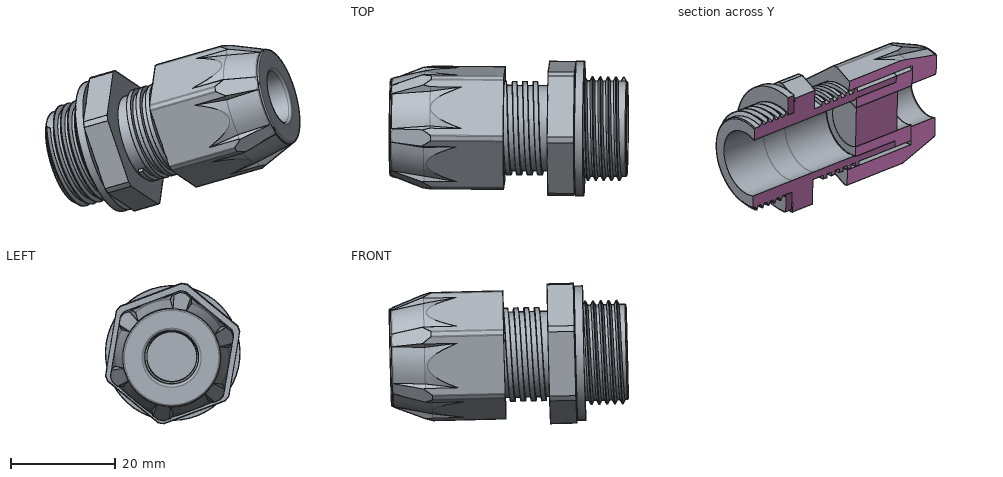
import cadquery as cq
import math


AXIS_RISE = 1.4
AXIS_SWING = 0.35
HEX_ANGLE = 9.5
HEX_SIDES = 6
SIDE_ANGLE = 360 / HEX_SIDES
HALF_SIDE_ANGLE = SIDE_ANGLE / 2
FLAT_ANGLE = HEX_ANGLE + HALF_SIDE_ANGLE

NUT_END = 21.9
HEX_START = 30.4
HEX_END = 35.45
GASKET_START = HEX_END + 0.2
GASKET_END = 37.2
BODY_END = 45.47

NUT_FLATS = 22.0
NUT_CORNERS = 24.8
NUT_CORNER_ROUND = 0.4
NUT_FACE_DIA = 18.74
NUT_FACE_ROUND = 0.3
NUT_BORE = 10.32
NUT_MOUTH_ROUND = 0.5
NUT_SHOULDER = 6.1
RIB_SLOPE = 21.4
RIB_FACE_OFFSET = 9.26

NEAR_KNEE = (10.93, 6.65)
FAR_KNEE = (10.99, 7.85)
FAR_FLATS = (2, 5)
REAR_CONE_LENGTH = 6.6
REAR_CONE_RADIUS = 11.87
SCOOP_HALF_WIDTH = 3.55
SCOOP_SPREAD = 1.17
SCOOP_BELOW = 2.0
SCOOP_ABOVE = 5.0

HEX_FLATS = 24.0
HEX_CORNERS = 27.06
SPIGOT_START = 10.0
SPIGOT_DIA = 16.43
NECK_DIA = 23.0
STUD_DIA = 18.34
STUD_CHAMFER = 0.2
SEAL_SEAT_DIA = 13.58
SEAL_SEAT_END = 20.0
PASSAGE_DIA = 13.18
THREAD_ROOT_SINK = 0.2

SPIGOT_THREAD_DIA = 17.95
SPIGOT_THREAD_PITCH = 2.0
SPIGOT_THREAD_TURNS = 5
SPIGOT_THREAD_END = 29.3
SPIGOT_THREAD_END_ANGLE = 0
SPIGOT_THREAD_CREST = 0.85
SPIGOT_THREAD_BASE = 1.1

STUD_THREAD_DIA = 19.9
STUD_THREAD_PITCH = 1.5
STUD_THREAD_TURNS = 5.4
STUD_THREAD_END = 44.75
STUD_THREAD_END_ANGLE = 90
STUD_THREAD_CREST = 0.15
STUD_THREAD_BASE = 1.15

GASKET_DIA = 25.84
SEAL_BORE = 9.6
PLUG_START = 9.6


def disc(diameter, start, end):
    """Solid cylinder about the axis between two stations."""
    return cq.Workplane("XY", origin=(0, 0, start)).circle(diameter / 2).extrude(end - start)


def hexagon(across_flats, start, end, taper=0):
    """Hexagonal prism or pyramid about the axis, with a corner pointing along X."""
    corner_dia = across_flats / math.cos(math.radians(HALF_SIDE_ANGLE))
    return cq.Workplane("XY", origin=(0, 0, start)).polygon(HEX_SIDES, corner_dia).extrude(end - start, taper=taper)


def turn(shape, angle):
    """Rotates a shape about the axis."""
    return shape.rotate((0, 0, 0), (0, 0, 1), angle)


def thread(core_dia, crest_dia, pitch, turns, end, end_angle, base, crest):
    """Right-handed helical ridge that ends at the given station and angle."""
    root = core_dia / 2 - THREAD_ROOT_SINK
    height = pitch * turns
    path = cq.Workplane("XY").add(cq.Wire.makeHelix(pitch, height, root))
    profile = [
        (root, -base / 2),
        (crest_dia / 2, -crest / 2),
        (crest_dia / 2, crest / 2),
        (root, base / 2),
    ]
    ridge = cq.Workplane("XZ").polyline(profile).close().sweep(path, isFrenet=True)
    return turn(ridge, end_angle - 360 * turns).translate((0, 0, end - height))


def scoop(angle, knee_radius, knee):
    """Cutter for one flat: everything outside two stacked cones, between two leaning side walls."""
    rear = knee + REAR_CONE_LENGTH
    face_radius = NUT_FACE_DIA / 2
    outer = NUT_FLATS
    outside = (
        cq.Workplane("XZ")
        .polyline([(face_radius, 0), (knee_radius, knee), (REAR_CONE_RADIUS, rear), (outer, rear), (outer, 0)])
        .close()
        .revolve(360, (0, 0, 0), (0, 1, 0))
    )

    def section(radius):
        """Corners of the trapezoid between the side walls where the floor has the given radius."""
        floor = math.sqrt(radius**2 - SCOOP_HALF_WIDTH**2)
        low = SCOOP_HALF_WIDTH - SCOOP_SPREAD * SCOOP_BELOW
        high = SCOOP_HALF_WIDTH + SCOOP_SPREAD * SCOOP_ABOVE
        inner = floor - SCOOP_BELOW
        top = floor + SCOOP_ABOVE
        return [(inner, -low), (top, -high), (top, high), (inner, low)]

    front = (
        cq.Workplane("XY").polyline(section(face_radius)).close()
        .workplane(offset=knee).polyline(section(knee_radius)).close()
        .loft(ruled=True)
    )
    back = cq.Workplane("XY", origin=(0, 0, knee)).polyline(section(knee_radius)).close().extrude(rear - knee)
    return turn(outside.intersect(front.union(back)), angle)


def rounded_face():
    """Envelope that rounds the rim of the nut's front face and clears the rest of the nut."""
    rim = NUT_FACE_DIA / 2
    flat = rim - NUT_FACE_ROUND
    arc_inset = NUT_FACE_ROUND * (1 - math.sqrt(0.5))
    return (
        cq.Workplane("XZ")
        .lineTo(flat, 0)
        .threePointArc((rim - arc_inset, arc_inset), (rim, NUT_FACE_ROUND))
        .lineTo(NUT_FLATS, NUT_FLATS)
        .lineTo(0, NUT_FLATS)
        .close()
        .revolve(360, (0, 0, 0), (0, 1, 0))
    )


def make_nut():
    """Cap nut: blunted hexagon, sloping corner ribs, scooped flats, stepped bore."""
    prism = hexagon(NUT_FLATS, 0, NUT_END)
    prism = prism.intersect(turn(hexagon(NUT_CORNERS, 0, NUT_END), HALF_SIDE_ANGLE))
    prism = prism.edges("|Z").fillet(NUT_CORNER_ROUND)
    ribs = turn(hexagon(2 * RIB_FACE_OFFSET, 0, NUT_END, taper=-RIB_SLOPE), HALF_SIDE_ANGLE)
    nut = turn(prism.intersect(ribs), HEX_ANGLE)
    for index in range(HEX_SIDES):
        knee = FAR_KNEE if index in FAR_FLATS else NEAR_KNEE
        nut = nut.cut(scoop(FLAT_ANGLE + SIDE_ANGLE * index, *knee))
    nut = nut.intersect(rounded_face())
    nut = nut.cut(disc(NUT_BORE, 0, NUT_SHOULDER))
    nut = nut.cut(disc(SPIGOT_THREAD_DIA, NUT_SHOULDER, NUT_END))
    mouth = cq.selectors.RadiusNthSelector(0)
    nut = nut.faces("<Z").edges("%CIRCLE").edges(mouth).fillet(NUT_MOUTH_ROUND)
    return nut


def make_spigot():
    """Front spigot of the body that carries the nut and holds the seal."""
    ridge = thread(
        SPIGOT_DIA, SPIGOT_THREAD_DIA, SPIGOT_THREAD_PITCH, SPIGOT_THREAD_TURNS, SPIGOT_THREAD_END,
        SPIGOT_THREAD_END_ANGLE, SPIGOT_THREAD_BASE, SPIGOT_THREAD_CREST,
    )
    spigot = disc(SPIGOT_DIA, SPIGOT_START, HEX_START).cut(disc(SEAL_SEAT_DIA, SPIGOT_START, SEAL_SEAT_END))
    spigot = spigot.cut(disc(PASSAGE_DIA, SEAL_SEAT_END, HEX_START))
    return spigot.union(ridge, clean=False)


def make_collar():
    """Hexagonal collar with a short neck behind it."""
    collar = hexagon(HEX_FLATS, HEX_START, HEX_END).intersect(disc(HEX_CORNERS, HEX_START, HEX_END))
    collar = turn(collar, HEX_ANGLE).union(disc(NECK_DIA, HEX_END, GASKET_START))
    return collar.cut(disc(PASSAGE_DIA, HEX_START, GASKET_START))


def make_stud():
    """Rear mounting stud, threaded behind the gasket."""
    ridge = thread(
        STUD_DIA, STUD_THREAD_DIA, STUD_THREAD_PITCH, STUD_THREAD_TURNS, STUD_THREAD_END,
        STUD_THREAD_END_ANGLE, STUD_THREAD_BASE, STUD_THREAD_CREST,
    )
    ridge = ridge.cut(disc(GASKET_DIA, HEX_START, GASKET_END))
    stud = disc(STUD_DIA, GASKET_START, BODY_END).faces(">Z").chamfer(STUD_CHAMFER)
    return stud.cut(disc(PASSAGE_DIA, GASKET_START, BODY_END)).union(ridge, clean=False)


def make_body():
    """Gland body: spigot, collar and stud in one piece."""
    return make_collar().union(make_spigot(), clean=False).union(make_stud(), clean=False)


def make_gasket():
    """Flat ring on the stud behind the collar."""
    return disc(GASKET_DIA, GASKET_START, GASKET_END).cut(disc(STUD_DIA, GASKET_START, GASKET_END))


def make_seal():
    """Sealing sleeve with a head between the nut's shoulder and the spigot."""
    head = disc(SPIGOT_DIA, NUT_SHOULDER, SPIGOT_START)
    seal = head.union(disc(SEAL_SEAT_DIA, SPIGOT_START, SEAL_SEAT_END))
    return seal.cut(disc(SEAL_BORE, NUT_SHOULDER, SEAL_SEAT_END))


def make_plug():
    """Plug that closes the seal's bore."""
    return disc(SEAL_BORE, PLUG_START, SEAL_SEAT_END)


def place(shape):
    """Lays the axis down along +X and tilts it."""
    origin = (0, 0, 0)
    return shape.rotate(origin, (0, 1, 0), 90 - AXIS_RISE).rotate(origin, (0, 0, 1), -AXIS_SWING)


nut = place(make_nut())
body = place(make_body())
gasket = place(make_gasket())
seal = place(make_seal())
plug = place(make_plug())

result = cq.Compound.makeCompound(
    [nut.val(), body.val(), gasket.val(), seal.val(), plug.val()]
)